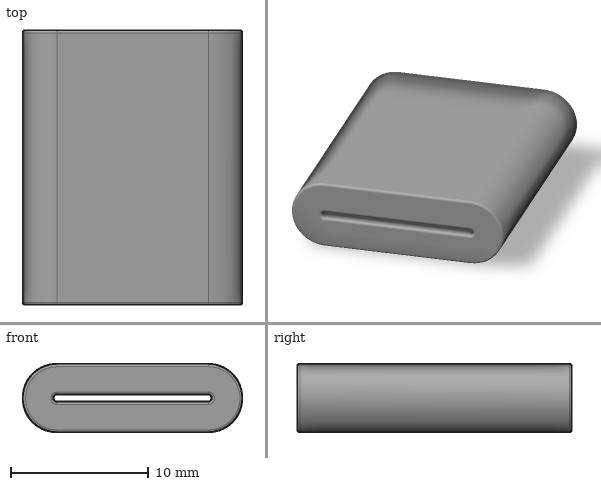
import cadquery as cq

width = 16.0
length = 20.0
thickness = 5.0
edge_radius = 0.2

slot_height = 0.5
slot_width = width - thickness + slot_height


def stadium_bar(bar_width, bar_height):
    """Bar along Y, centred on the origin, with fully rounded sides."""
    return cq.Workplane("XZ").slot2D(bar_width, bar_height).extrude(length / 2, both=True)


sleeve = stadium_bar(width, thickness).cut(stadium_bar(slot_width, slot_height))

result = sleeve.faces("<Y or >Y").edges().fillet(edge_radius)